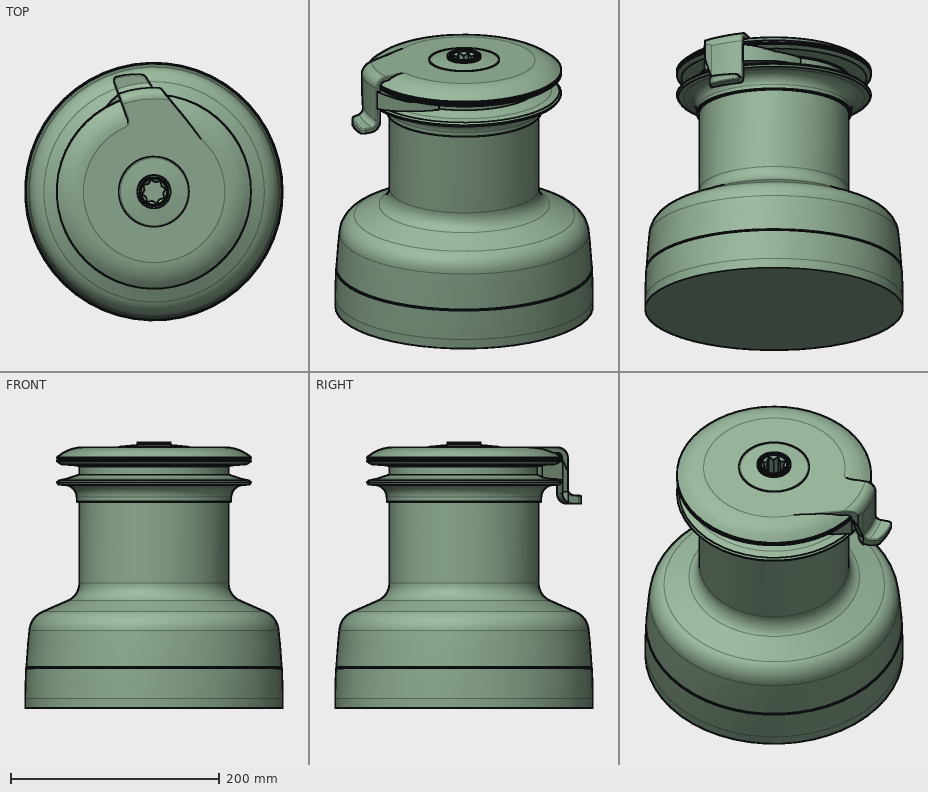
import cadquery as cq
import math


base_radius = 124.0
base_band_height = 9.7
seam_bottom_z = 38.3
seam_width = 1.4
lower_skirt_middle = (123.7, 24.0)
upper_skirt_middle = (121.7, 57.3)
seam_radius = 233.0 / 2
skirt_radius_below_seam = 123.2
skirt_radius_above_seam = 122.9
shoulder_start = (120.0, 74.8)
shoulder_middle = (115.8, 85.9)
shoulder_end = (106.0, 93.2)

drum_radius = 144.0 / 2
cone_top = (82.0, 103.8)
drum_fillet_middle = (75.2, 109.6)
drum_start_z = 120.4
collar_bottom_z = 198.0
collar_radius = 74.5
collar_chamfer = 0.8
collar_top_z = 203.0

jaw_radius = 187.0 / 2
flare_middle = (77.4, 210.3)
flare_end = (87.0, 214.3)
lower_rim_bottom = (92.0, 214.8)
lower_rim_z = 217.0
lower_rim_top = (91.5, 218.9)
lower_jaw_bend = (84.0, 220.5)
lower_jaw_top_z = 224.5
neck_top_z = 232.0
upper_jaw_root = (73.2, 233.0)
upper_jaw_underside_end = (89.0, 234.2)
upper_rim_z = 237.2
gap_bottom_z = 238.4
gap_top_z = 239.5
gap_radius = 68.0
rim_edge_inset = 0.5

dome_edge_z = 241.0
lid_top_z = 250.8
lid_flat_radius = 68.0
dome_rise = lid_top_z - dome_edge_z
dome_arc_radius = ((jaw_radius - lid_flat_radius) ** 2 + dome_rise**2) / (2 * dome_rise)
cap_radius = 33.8
cap_edge_height = 0.6
cap_edge_inset = 1.3
cap_center_z = 253.0
overall_height = 255.7
boss_radius = 32.2 / 2
boss_top_radius = 31.72 / 2
boss_edge_height = 0.6

socket_diameter = 18.1
socket_lobe_count = 8
socket_tip_diameter = 23.6
socket_angle = 12.5
socket_depth = 30.0
socket_mouth_diameter = 28.0
socket_mouth_depth = 0.8
socket_countersink_diameter = 25.0
socket_countersink_depth = 3.0

strap_thickness = 5.3
strap_outer_radius = 100.0
strap_bend_radius = 10.5
strap_inner_bend = strap_bend_radius - strap_thickness
strap_root_radius = 50.0
hook_bottom_z = 196.2
hook_reach = 120.0
hook_rise = 4.5
strap_edge_fillet = 1.2
strap_right_edge_fillet = 0.9
arm_left_foot = (-30.6, 61.5)
arm_left_corner_middle = (-25.9, 65.8)
arm_left_root = (-26.1, 71.2)
hook_left_corner = (-39.9, 109.2)
hook_edge_middle = (-24.4, 112.6)
hook_right_corner = (-8.8, 112.2)
hook_left_corner_radius = 4.0
hook_right_corner_radius = 6.0
arm_right_end = (6.5, 99.5)
drop_right_x = -1.4
drop_narrow_z = 208.0
drop_wide_x = 11.0
drop_wide_z = 240.0

stripper_outer_point = (-34.6, 92.8)
stripper_middle_point = (-50.5, 75.2)
stripper_end_point = (-62.5, 38.5)
stripper_root = (-58.0, 36.3)
stripper_waist_y = 67.7
stripper_outer_z = (219.3, 237.2)
stripper_inner_z = (224.0, 231.7)
stripper_waist_z = (222.2, 231.7)


def make_body():
    """Revolve the skirt, drum, jaws and lid as one profile."""
    dome_half_angle = math.asin((jaw_radius - lid_flat_radius) / dome_arc_radius) / 2
    dome_middle = (
        lid_flat_radius + dome_arc_radius * math.sin(dome_half_angle),
        lid_top_z - dome_arc_radius * (1 - math.cos(dome_half_angle)),
    )
    rim_edge_radius = jaw_radius - rim_edge_inset
    seam_top_z = seam_bottom_z + seam_width
    profile = (
        cq.Workplane("XZ")
        .lineTo(base_radius, 0)
        .lineTo(base_radius, base_band_height)
        .threePointArc(lower_skirt_middle, (skirt_radius_below_seam, seam_bottom_z))
        .lineTo(seam_radius, seam_bottom_z)
        .lineTo(seam_radius, seam_top_z)
        .lineTo(skirt_radius_above_seam, seam_top_z)
        .threePointArc(upper_skirt_middle, shoulder_start)
        .threePointArc(shoulder_middle, shoulder_end)
        .lineTo(*cone_top)
        .threePointArc(drum_fillet_middle, (drum_radius, drum_start_z))
        .lineTo(drum_radius, collar_bottom_z)
        .lineTo(collar_radius - collar_chamfer, collar_bottom_z)
        .lineTo(collar_radius, collar_bottom_z + collar_chamfer)
        .lineTo(collar_radius, collar_top_z)
        .threePointArc(flare_middle, flare_end)
        .lineTo(*lower_rim_bottom)
        .lineTo(jaw_radius, lower_rim_z)
        .lineTo(*lower_rim_top)
        .lineTo(*lower_jaw_bend)
        .lineTo(drum_radius, lower_jaw_top_z)
        .lineTo(drum_radius, neck_top_z)
        .lineTo(*upper_jaw_root)
        .lineTo(*upper_jaw_underside_end)
        .lineTo(jaw_radius, upper_rim_z)
        .lineTo(rim_edge_radius, gap_bottom_z)
        .lineTo(gap_radius, gap_bottom_z)
        .lineTo(gap_radius, gap_top_z)
        .lineTo(rim_edge_radius, gap_top_z)
        .lineTo(jaw_radius, dome_edge_z)
        .threePointArc(dome_middle, (lid_flat_radius, lid_top_z))
        .lineTo(0, lid_top_z)
        .close()
    )
    return profile.revolve(360, (0, 0), (0, 1))


def make_cap():
    """Shallow conical cap on the lid with the raised socket boss."""
    cap_edge_z = lid_top_z + cap_edge_height
    profile = (
        cq.Workplane("XZ", origin=(0, 0, 0))
        .moveTo(0, gap_top_z)
        .lineTo(cap_radius, gap_top_z)
        .lineTo(cap_radius, cap_edge_z)
        .lineTo(cap_radius - cap_edge_inset, cap_edge_z)
        .lineTo(boss_top_radius, cap_center_z)
        .lineTo(boss_radius, cap_center_z + boss_edge_height)
        .lineTo(boss_radius, overall_height - boss_edge_height)
        .lineTo(boss_top_radius, overall_height)
        .lineTo(0, overall_height)
        .close()
    )
    return profile.revolve(360, (0, 0), (0, 1))


def make_socket():
    """Eight-pointed handle socket with a shallow round mouth and a countersink."""
    mouth = (
        cq.Workplane("XY", origin=(0, 0, overall_height - socket_mouth_depth))
        .circle(socket_mouth_diameter / 2)
        .extrude(socket_mouth_depth)
    )
    countersink = cq.Workplane("XY").add(
        cq.Solid.makeCone(
            socket_countersink_diameter / 2,
            socket_diameter / 2,
            socket_countersink_depth,
            cq.Vector(0, 0, overall_height - socket_mouth_depth),
            cq.Vector(0, 0, -1),
        )
    )
    points = []
    for step in range(2 * socket_lobe_count):
        radius = (socket_tip_diameter if step % 2 == 0 else socket_diameter) / 2
        angle = math.radians(socket_angle + step * 180.0 / socket_lobe_count)
        points.append((radius * math.cos(angle), radius * math.sin(angle)))
    star = (
        cq.Workplane("XY", origin=(0, 0, overall_height - socket_depth))
        .polyline(points)
        .close()
        .extrude(socket_depth)
    )
    return mouth.union(countersink).union(star)


def arm_right_line_point(distance):
    """Point on the arm's right edge, which meets the lid circle tangentially."""
    end_angle = math.atan2(arm_right_end[1], arm_right_end[0])
    angle = end_angle - math.acos(lid_flat_radius / math.hypot(*arm_right_end))
    return (
        arm_right_end[0] + distance * math.sin(angle),
        arm_right_end[1] - distance * math.cos(angle),
    )


def make_strap():
    """Bent strap section turned about the winch axis."""
    strap_inner_radius = strap_outer_radius - strap_thickness
    underside_z = lid_top_z - strap_thickness
    bend_start_radius = strap_outer_radius - strap_bend_radius
    upper_bend_z = lid_top_z - strap_bend_radius
    lower_bend_z = hook_bottom_z + strap_bend_radius
    lower_bend_radius = strap_inner_radius + strap_bend_radius
    hook_block_z = lower_bend_z + hook_rise
    profile = (
        cq.Workplane("XZ")
        .moveTo(strap_root_radius, lid_top_z)
        .lineTo(bend_start_radius, lid_top_z)
        .radiusArc((strap_outer_radius, upper_bend_z), strap_bend_radius)
        .lineTo(strap_outer_radius, hook_block_z)
        .lineTo(hook_reach, hook_block_z)
        .lineTo(hook_reach, hook_bottom_z)
        .lineTo(lower_bend_radius, hook_bottom_z)
        .radiusArc((strap_inner_radius, lower_bend_z), strap_bend_radius)
        .lineTo(strap_inner_radius, upper_bend_z)
        .radiusArc((bend_start_radius, underside_z), -strap_inner_bend)
        .lineTo(strap_root_radius, underside_z)
        .close()
    )
    return profile.revolve(360, (0, 0), (0, 1))


def make_hook_clearance():
    """Space above the hook: its floor rises from left to right, its wall follows the strap."""
    hook_top_z = hook_bottom_z + strap_thickness
    left_x = hook_left_corner[0]
    right_x = arm_right_end[0]
    top_z = hook_bottom_z + 2 * strap_bend_radius
    block = (
        cq.Workplane("XZ")
        .polyline([
            (left_x, hook_top_z),
            (right_x, hook_top_z + hook_rise),
            (right_x, top_z),
            (left_x, top_z),
        ])
        .close()
        .extrude(-hook_reach)
    )
    strap_drum = cq.Workplane("XY").circle(strap_outer_radius).extrude(overall_height)
    bend_point = ((left_x + right_x) / 2, strap_outer_radius, hook_top_z + hook_rise / 2)
    floor_edge = cq.selectors.NearestToPointSelector(bend_point)
    return block.cut(strap_drum).edges(floor_edge).fillet(strap_inner_bend)


def make_drop_taper():
    """Material taken off the right side of the drop so that it narrows to the hook."""
    far_x = arm_right_end[0] + strap_outer_radius
    return (
        cq.Workplane("XZ")
        .polyline([
            (drop_right_x, hook_bottom_z),
            (drop_right_x, drop_narrow_z),
            (drop_wide_x, drop_wide_z),
            (far_x, drop_wide_z),
            (far_x, hook_bottom_z),
        ])
        .close()
        .extrude(-hook_reach)
    )


def make_arm_outline():
    """Plan outline of the arm, cut back on the right towards the hook."""
    tangent_length = math.sqrt(math.hypot(*arm_right_end) ** 2 - lid_flat_radius**2)
    right_foot = arm_right_line_point(tangent_length)
    outline = (
        cq.Workplane("XY", origin=(0, 0, hook_bottom_z))
        .moveTo(*arm_left_foot)
        .threePointArc(arm_left_corner_middle, arm_left_root)
        .lineTo(*hook_left_corner)
        .threePointArc(hook_edge_middle, hook_right_corner)
        .lineTo(drop_right_x, strap_outer_radius)
        .lineTo(*arm_right_end)
        .lineTo(*right_foot)
        .close()
        .extrude(lid_top_z - hook_bottom_z)
    )
    for corner, radius in (
        (hook_left_corner, hook_left_corner_radius),
        (hook_right_corner, hook_right_corner_radius),
    ):
        edge_middle = (*corner, (hook_bottom_z + lid_top_z) / 2)
        outline = outline.edges(cq.selectors.NearestToPointSelector(edge_middle)).fillet(radius)
    return outline


def make_stripper():
    """Wedge in the jaw groove, growing taller from the neck out to the strap."""
    plan = (
        cq.Workplane("XY")
        .moveTo(*stripper_outer_point)
        .threePointArc(stripper_middle_point, stripper_end_point)
        .lineTo(*stripper_root)
        .lineTo(*arm_right_line_point(strap_bend_radius * 3))
        .lineTo(*arm_right_line_point(strap_thickness))
        .close()
        .extrude(overall_height)
    )
    outer_y = strap_outer_radius - strap_thickness
    heights = [
        (outer_y, stripper_outer_z),
        (stripper_waist_y, stripper_waist_z),
        (stripper_end_point[1], stripper_inner_z),
        (0, stripper_inner_z),
    ]
    lower_points = [(y, bottom) for y, (bottom, top) in heights]
    upper_points = [(y, top) for y, (bottom, top) in reversed(heights)]
    side = (
        cq.Workplane("YZ")
        .polyline(lower_points + upper_points)
        .close()
        .extrude(strap_outer_radius, both=True)
    )
    return plan.intersect(side)


def make_arm():
    """Strap trimmed to its outline, with rounded edges and a tapering drop."""
    arm = make_strap().intersect(make_arm_outline()).cut(make_hook_clearance())
    left_edge_middle = (
        (arm_left_root[0] + hook_left_corner[0]) / 2,
        (arm_left_root[1] + hook_left_corner[1]) / 2,
    )
    rounded_edges = cq.Workplane("XY")
    for point in (arm_left_corner_middle, left_edge_middle):
        for z in (lid_top_z, lid_top_z - strap_thickness):
            rounded_edges.add(arm.edges(cq.selectors.NearestToPointSelector((*point, z))))
    right_edge_point = (*arm_right_line_point(strap_outer_radius / 2), lid_top_z)
    right_edge = cq.selectors.NearestToPointSelector(right_edge_point)
    arm = arm.newObject(rounded_edges.vals()).fillet(strap_edge_fillet)
    arm = arm.edges(right_edge).fillet(strap_right_edge_fillet)
    return arm.cut(make_drop_taper())


result = (
    make_body()
    .union(make_stripper())
    .union(make_arm())
    .union(make_cap())
    .cut(make_socket())
)